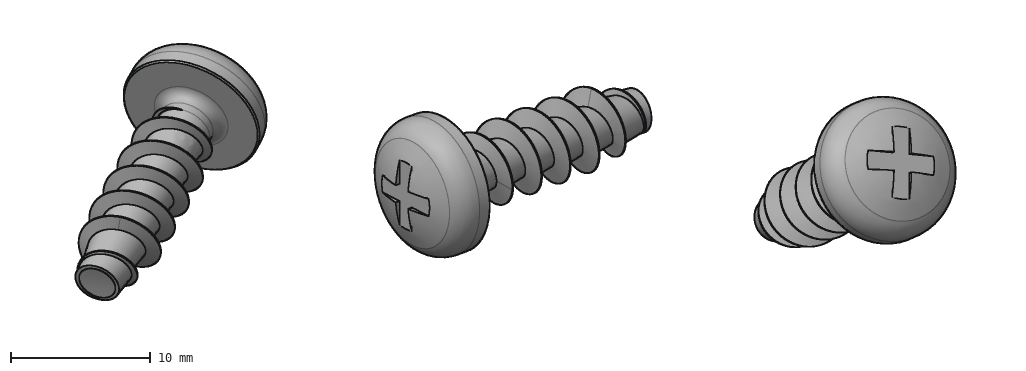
import cadquery as cq
import math


head_radius = 5.25
rim_height = 1.08
rim_chamfer = 0.12
shoulder_radius = 2.1
dome_radius = 8.9
slot_width = 1.37
slot_floor_height = 3.55

shank_length = 18.0
neck_radius = 2.02
neck_fillet = 0.82
neck_depth = 1.46
neck_taper_end = 3.0
core_radius = 1.62
dish_radius = 1.58
dish_depth = 0.1

pitch = 2.69
phase_depth = 2.54
crest_radius = 3.02
crest_width = 0.1
flank_angle = 15.0
tooth_root_radius = 1.2

tooth_stations = [(0.9, 2.22), (4.0, crest_radius), (13.95, crest_radius), (17.7, 1.66)]

wedge_radius = 2.03
wedge_end_radius = core_radius - 0.01
wedge_gap = 0.05
wedge_root_radius = 1.4
wedge_stations = [(0.5, wedge_radius), (15.3, wedge_radius), (shank_length, core_radius)]

lip_offset = 0.35
lip_thickness = 0.07

points_per_turn = 16


def make_head():
    """Revolve the head: chamfered rim, shoulder arc, and a dome tangent to that arc."""
    arc_center_r = head_radius - shoulder_radius
    joint_angle = math.acos(arc_center_r / (dome_radius - shoulder_radius))
    dome_center_y = rim_height - (dome_radius - shoulder_radius) * math.sin(joint_angle)
    apex_y = dome_center_y + dome_radius

    def on_shoulder(angle):
        return (
            arc_center_r + shoulder_radius * math.cos(angle),
            rim_height + shoulder_radius * math.sin(angle),
        )

    dome_mid_angle = (joint_angle + math.pi / 2) / 2
    dome_mid = (
        dome_radius * math.cos(dome_mid_angle),
        dome_center_y + dome_radius * math.sin(dome_mid_angle),
    )
    head = (
        cq.Workplane("XY")
        .lineTo(head_radius - rim_chamfer, 0)
        .lineTo(head_radius, rim_chamfer)
        .lineTo(head_radius, rim_height)
        .threePointArc(on_shoulder(joint_angle / 2), on_shoulder(joint_angle))
        .threePointArc(dome_mid, (0, apex_y))
        .close()
        .revolve(360, (0, 0), (0, 1))
    )
    return head.cut(make_cross_slot(apex_y))


def make_cross_slot(top_y):
    """Two crossing slots with a flat floor, running out through the dome."""
    slot_length = 2 * head_radius
    slot_height = top_y - slot_floor_height
    mid_y = slot_floor_height + slot_height / 2
    along_x = cq.Workplane("XY").box(slot_length, slot_height, slot_width)
    along_z = cq.Workplane("XY").box(slot_width, slot_height, slot_length)
    return along_x.union(along_z).translate((0, mid_y, 0))


def make_shank_core():
    """Revolve the filleted neck, its cone and the cylindrical core."""
    fillet_center_r = neck_radius + neck_fillet
    fillet_mid = (
        fillet_center_r - neck_fillet * math.cos(math.pi / 4),
        -neck_fillet + neck_fillet * math.sin(math.pi / 4),
    )
    dish_sphere_radius = (dish_radius ** 2 + dish_depth ** 2) / (2 * dish_depth)
    dish_mid_r = dish_radius / 2
    dish_mid_drop = dish_sphere_radius - math.sqrt(dish_sphere_radius ** 2 - dish_mid_r ** 2)
    dish_mid = (dish_mid_r, dish_depth - dish_mid_drop - shank_length)
    return (
        cq.Workplane("XY")
        .lineTo(fillet_center_r, 0)
        .threePointArc(fillet_mid, (neck_radius, -neck_fillet))
        .lineTo(neck_radius, -neck_depth)
        .lineTo(core_radius, -neck_taper_end)
        .lineTo(core_radius, -shank_length)
        .lineTo(dish_radius, -shank_length)
        .threePointArc(dish_mid, (0, dish_depth - shank_length))
        .close()
        .revolve(360, (0, 0), (0, 1))
    )


def tooth_section(peak_radius):
    """Trapezoid of the tooth as (axial offset towards the tip, radius) corners."""
    half_crest = crest_width / 2
    half_root = half_crest + (peak_radius - tooth_root_radius) * math.tan(math.radians(flank_angle))
    return [
        (-half_root, tooth_root_radius),
        (-half_crest, peak_radius),
        (half_crest, peak_radius),
        (half_root, tooth_root_radius),
    ]


def wedge_section(peak_radius):
    """Tapering core wedge, nearly one pitch long, as (axial offset, radius) corners."""
    wedge_length = pitch - wedge_gap
    return [
        (0, wedge_root_radius),
        (0, peak_radius),
        (wedge_length, wedge_end_radius),
        (wedge_length, wedge_root_radius),
    ]


def section_points(section, depth, peak_radius):
    """Place a section's corners in space where the helix reaches the given depth."""
    angle = 2 * math.pi * (depth - phase_depth) / pitch
    return [
        cq.Vector(radius * math.cos(angle), -(depth + offset), radius * math.sin(angle))
        for offset, radius in section(peak_radius)
    ]


def make_helical_solid(section, stations):
    """Carry a section along the helix, its peak radius changing linearly between stations."""
    faces = []
    for (depth_a, peak_a), (depth_b, peak_b) in zip(stations, stations[1:]):
        steps = math.ceil((depth_b - depth_a) / pitch * points_per_turn)
        rings = []
        for step in range(steps + 1):
            fraction = step / steps
            depth = depth_a + fraction * (depth_b - depth_a)
            peak = peak_a + fraction * (peak_b - peak_a)
            rings.append(section_points(section, depth, peak))
        edges = [cq.Edge.makeSpline(list(corner_path)) for corner_path in zip(*rings)]
        for edge, next_edge in zip(edges, edges[1:] + edges[:1]):
            faces.append(cq.Face.makeRuledSurface(edge, next_edge))
    for depth, peak in (stations[0], stations[-1]):
        outline = cq.Wire.makePolygon(section_points(section, depth, peak), close=True)
        faces.append(cq.Face.makeFromWires(outline))
    solid = cq.Solid.makeSolid(cq.Shell.makeShell(faces))
    return cq.Workplane("XY").newObject([solid.fix()])


def make_thread():
    """Tooth and core wedge, kept between the end of the neck and the tip."""
    thread_length = shank_length - neck_depth
    zone = (
        cq.Workplane("XZ", origin=(0, -neck_depth, 0))
        .circle(head_radius)
        .extrude(thread_length)
    )
    tooth = make_helical_solid(tooth_section, tooth_stations).intersect(zone)
    wedge = make_helical_solid(wedge_section, wedge_stations).intersect(zone)
    return wedge.union(tooth)


def make_starting_lip():
    """Thin off-centre disc, of which only the crescent on the -X side stands proud of the neck."""
    return (
        cq.Workplane("XZ", origin=(-lip_offset, -neck_depth, 0))
        .circle(neck_radius)
        .extrude(lip_thickness)
    )


result = make_head().union(make_shank_core()).union(make_thread()).union(make_starting_lip())